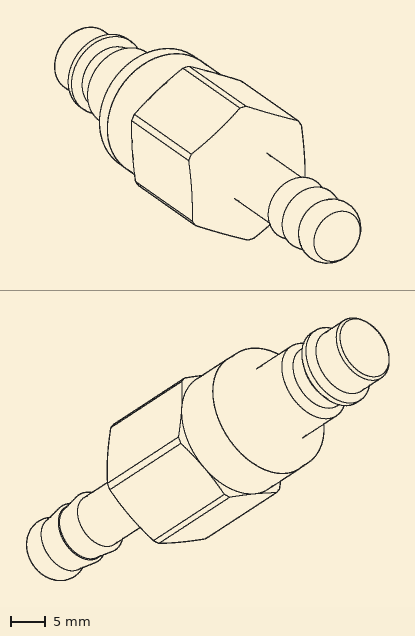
import cadquery as cq
import math

length = 72.0

nose_radius = 9.9 / 2
nose_chamfer_length = 0.4
nose_chamfer_depth = 0.35
collar_start = 5.05
collar_crest_start = 6.05
collar_crest_end = 7.0
collar_end = 8.1
neck_radius = 9.7 / 2
neck_end = 10.4
plug_start = 11.5
plug_radius = 12.0 / 2

root_fillet = 0.9
body_start = 20.0
body_edge_round = 0.9
body_front_radius = 18.9 / 2
body_step = 23.0
body_radius = 19.0 / 2

hex_start = 30.0
hex_end = 46.9
hex_across_flats = 19.0
hex_corner_radius = 10.69
hex_tilt = 3.6
hex_chamfer_length = 0.35
hex_face_radius = body_radius

tail_radius = 8.1 / 2
barb_starts = (60.3, 64.2)
barb_ends = (64.1, 68.25)
barb_radius = 9.6 / 2
barb_round = 0.4
barb_low_radius = 4.25
bead_peak = 70.1
bead_end_radius = 3.9

ARC_MID = math.sqrt(0.5)


def concave_up(profile, x, radius, size):
    """Quarter-round root rising from the shaft at radius to a face at x."""
    middle = (x - size * (1 - ARC_MID), radius + size * (1 - ARC_MID))
    return (
        profile.lineTo(x - size, radius)
        .threePointArc(middle, (x, radius + size))
    )


def concave_down(profile, x, radius, size):
    """Quarter-round root falling from a face at x to the shaft at radius."""
    middle = (x + size * (1 - ARC_MID), radius + size * (1 - ARC_MID))
    return (
        profile.lineTo(x, radius + size)
        .threePointArc(middle, (x + size, radius))
    )


def convex_up(profile, x, radius, size):
    """Rounded outer edge between a face at x and a cylinder of the given radius."""
    middle = (x + size * (1 - ARC_MID), radius - size * (1 - ARC_MID))
    return (
        profile.lineTo(x, radius - size)
        .threePointArc(middle, (x + size, radius))
    )


def make_turned_part():
    """Everything except the hexagon, as one revolved outline."""
    profile = (
        cq.Workplane("XY")
        .lineTo(0, nose_radius - nose_chamfer_depth)
        .lineTo(nose_chamfer_length, nose_radius)
        .lineTo(collar_start, nose_radius)
        .lineTo(collar_crest_start, plug_radius)
        .lineTo(collar_crest_end, plug_radius)
        .lineTo(collar_end, neck_radius)
        .lineTo(neck_end, neck_radius)
        .lineTo(plug_start, plug_radius)
    )
    profile = concave_up(profile, body_start, plug_radius, root_fillet)
    profile = convex_up(profile, body_start, body_front_radius, body_edge_round)
    profile = (
        profile.lineTo(body_step, body_front_radius)
        .lineTo(body_step, body_radius)
        .lineTo(hex_end, body_radius)
    )
    profile = concave_down(profile, hex_end, tail_radius, root_fillet)
    profile = profile.lineTo(barb_starts[0], tail_radius)
    for start, end in zip(barb_starts, barb_ends):
        profile = convex_up(profile, start, barb_radius, barb_round)
        profile = profile.lineTo(end, barb_low_radius)
    return (
        profile.threePointArc((bead_peak, barb_radius), (length, bead_end_radius))
        .lineTo(length, 0)
        .close()
        .revolve(360, (0, 0, 0), (1, 0, 0))
    )


def make_hexagon():
    """Tilted hexagon trimmed by a cylinder whose ends are chamfered."""
    prism = (
        cq.Workplane("YZ", origin=(hex_start, 0, 0))
        .polygon(6, hex_across_flats / math.cos(math.pi / 6))
        .extrude(hex_end - hex_start)
        .rotate((0, 0, 0), (1, 0, 0), 30 + hex_tilt)
    )
    envelope = (
        cq.Workplane("XY")
        .moveTo(hex_start, 0)
        .lineTo(hex_start, hex_face_radius)
        .lineTo(hex_start + hex_chamfer_length, hex_corner_radius)
        .lineTo(hex_end - hex_chamfer_length, hex_corner_radius)
        .lineTo(hex_end, hex_face_radius)
        .lineTo(hex_end, 0)
        .close()
        .revolve(360, (0, 0, 0), (1, 0, 0))
    )
    return prism.intersect(envelope)


result = make_turned_part().union(make_hexagon())